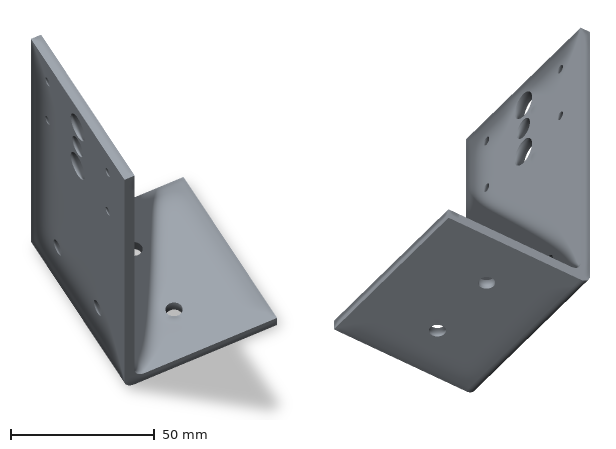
import cadquery as cq

width = 70.0
depth = 60.0
height = 119.0
thickness = 4.0
inner_bend_radius = 4.0
outer_bend_radius = 4.0

mount_diameter = 6.0
mount_spacing = 30.0
wall_mount_height = 23.0
base_mount_y = depth / 2

pattern_top_margin = 10.25
pattern_pitch_z = 22.0
screw_diameter = 3.3
screw_spacing = 45.0
large_diameter = 10.5
middle_diameter = 8.0

upper_row_z = height - pattern_top_margin
lower_row_z = upper_row_z - pattern_pitch_z
middle_row_z = (upper_row_z + lower_row_z) / 2


def make_bracket():
    """L-shaped plate: wall on the -Y side, base on the bottom, bend along X."""
    profile = [
        (0, 0),
        (depth, 0),
        (depth, thickness),
        (thickness, thickness),
        (thickness, height),
        (0, height),
    ]
    body = cq.Workplane("YZ").polyline(profile).close().extrude(width / 2, both=True)
    outer_corner = cq.selectors.NearestToPointSelector((0, 0, 0))
    inner_corner = cq.selectors.NearestToPointSelector((0, thickness, thickness))
    body = body.edges("|X").edges(inner_corner).fillet(inner_bend_radius)
    return body.edges("|X").edges(outer_corner).fillet(outer_bend_radius)


def wall_holes(diameter, centers):
    """Cylinders through the wall at (x, z) centers."""
    return cq.Workplane("XZ").pushPoints(centers).circle(diameter / 2).extrude(-thickness)


def base_holes(diameter, centers):
    """Cylinders through the base at (x, y) centers."""
    return cq.Workplane("XY").pushPoints(centers).circle(diameter / 2).extrude(thickness)


sides = (-1, 1)
mount_xs = [side * mount_spacing / 2 for side in sides]
screw_xs = [side * screw_spacing / 2 for side in sides]
screw_centers = [(x, z) for x in screw_xs for z in (lower_row_z, upper_row_z)]

result = make_bracket()
result = result.cut(wall_holes(screw_diameter, screw_centers))
result = result.cut(wall_holes(large_diameter, [(0, lower_row_z), (0, upper_row_z)]))
result = result.cut(wall_holes(middle_diameter, [(0, middle_row_z)]))
result = result.cut(wall_holes(mount_diameter, [(x, wall_mount_height) for x in mount_xs]))
result = result.cut(base_holes(mount_diameter, [(x, base_mount_y) for x in mount_xs]))